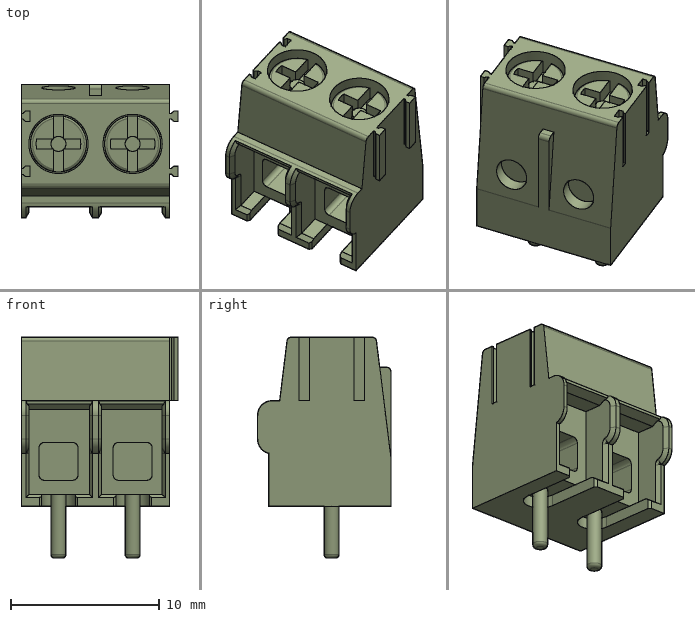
import cadquery as cq
import math


TOTAL_HEIGHT = 14.9
POLES = 2
WIDTH = 10.0
PITCH = WIDTH / POLES
DEPTH = 8.25
PIN_LENGTH = 3.5
HEIGHT = TOTAL_HEIGHT - PIN_LENGTH
POLE_Y = 4.25
POLE_XS = [PITCH * (i + 0.5) for i in range(POLES)]

FLANK_ANGLE = 7.0
FLANK_SLOPE = math.tan(math.radians(FLANK_ANGLE))
LEDGE_Z = 7.12
LEDGE_BACK_Y = 0.75
BACK_FLANK_Z = 3.2
TOP_FILLET = 0.3
LUG_REACH = 0.75
LUG_RADIUS = 1.0
LUG_STRAIGHT = 1.6

END_WALL = 0.5
MID_WALL = 0.8
ENTRY_DEPTH = 2.0
ENTRY_FLOOR_Z = 0.79
ENTRY_CEILING_Z = 6.53
BEVEL = 0.21
BEVEL_LONG = 0.36
CHEEK_BASE_Z = 0.15
CEILING_BEVEL = 0.63
WINDOW_WIDTH = 2.62
WINDOW_HEIGHT = 2.55
WINDOW_Z = 3.02
WINDOW_RADIUS = 0.36
WINDOW_DEPTH = 2.68

PIN_RADIUS = 0.5
PIN_TIP_FILLET = 0.25
NOTCH_RADIUS = 1.13
NOTCH_CHAMFER = 0.15

SCREW_HOLE_RADIUS = 2.0
SCREW_RADIUS = 1.89
SCREW_RECESS = 0.61
SCREW_EDGE = 0.15
SCREW_HEAD = 1.34
DRIVE_WIDTH = 0.69
DRIVE_DEPTH = 1.05
POST_HEIGHT = 0.3
SHORT_DRIVE_RADIUS = 1.5

CLIP_REACH = 0.57
CLIP_NECK = 0.4
CLIP_HEAD = 0.72
CLIP_FLARE_START = 0.1
CLIP_FLARE_END = 0.28
CLIP_YS = [2.4, 6.11]

RIB_WIDTH = 0.8
RIB_TOP_Z = 9.37
RIB_FILLET = 0.3
BACK_HOLE_RADIUS = 1.12
BACK_HOLE_Z = 5.1
BACK_HOLE_DEPTH = 1.0

LUG_CENTER_Y = LUG_RADIUS - LUG_REACH
LUG_HIGH_Z = LEDGE_Z - LUG_RADIUS
LUG_LOW_Z = LUG_HIGH_Z - LUG_STRAIGHT
LUG_FOOT_Z = LUG_LOW_Z - math.sqrt(LUG_RADIUS**2 - LUG_CENTER_Y**2)
TOP_FRONT_Y = LEDGE_BACK_Y + (HEIGHT - LEDGE_Z) * FLANK_SLOPE
TOP_BACK_Y = DEPTH - (HEIGHT - BACK_FLANK_Z) * FLANK_SLOPE


def lug_outline(start_z, back_y):
    """Open YZ outline up the front face, around the lug and back along the ledge."""
    diagonal = LUG_RADIUS * math.sqrt(0.5)
    foot_angle = math.atan2(LUG_FOOT_Z - LUG_LOW_Z, -LUG_CENTER_Y)
    low_angle = (foot_angle - math.pi) / 2
    low_mid = (
        LUG_CENTER_Y + LUG_RADIUS * math.cos(low_angle),
        LUG_LOW_Z + LUG_RADIUS * math.sin(low_angle),
    )
    return (
        cq.Workplane("YZ")
        .moveTo(0, start_z)
        .lineTo(0, LUG_FOOT_Z)
        .threePointArc(low_mid, (-LUG_REACH, LUG_LOW_Z))
        .lineTo(-LUG_REACH, LUG_HIGH_Z)
        .threePointArc((LUG_CENTER_Y - diagonal, LUG_HIGH_Z + diagonal), (LUG_CENTER_Y, LEDGE_Z))
        .lineTo(back_y, LEDGE_Z)
    )


def housing_block():
    block = (
        lug_outline(0, LEDGE_BACK_Y)
        .lineTo(TOP_FRONT_Y, HEIGHT)
        .lineTo(TOP_BACK_Y, HEIGHT)
        .lineTo(DEPTH, BACK_FLANK_Z)
        .lineTo(DEPTH, 0)
        .close()
        .extrude(WIDTH)
    )
    return block.faces(">Z").edges("|X").fillet(TOP_FILLET)


def entry_cut(x_min, x_max):
    """Opening of one wire entry at its outer bevel line, with floor and ceiling bevels."""
    front_y = -2 * LUG_REACH
    outline = [
        (front_y, ENTRY_FLOOR_Z - BEVEL),
        (0, ENTRY_FLOOR_Z - BEVEL),
        (BEVEL_LONG, ENTRY_FLOOR_Z),
        (ENTRY_DEPTH, ENTRY_FLOOR_Z),
        (ENTRY_DEPTH, ENTRY_CEILING_Z),
        (CEILING_BEVEL, ENTRY_CEILING_Z),
        (0, ENTRY_CEILING_Z + BEVEL_LONG),
        (0, HEIGHT),
        (front_y, HEIGHT),
    ]
    return cq.Workplane("YZ", origin=(x_min, 0, 0)).polyline(outline).close().extrude(x_max - x_min)


def bevelled_cheek():
    """Tapered skin that bevels the edge of an entry wall; its wide side lies on X = 0."""
    back_y = ENTRY_DEPTH + 2 * BEVEL_LONG
    taper = math.degrees(math.atan2(BEVEL_LONG, BEVEL))
    outline = lug_outline(CHEEK_BASE_Z, back_y).lineTo(back_y, CHEEK_BASE_Z).close()
    return outline.extrude(BEVEL, taper=taper)


def add_entries(body):
    for i in range(POLES):
        left_wall = END_WALL if i == 0 else MID_WALL / 2
        right_wall = END_WALL if i == POLES - 1 else MID_WALL / 2
        x_min = i * PITCH + left_wall - BEVEL
        x_max = (i + 1) * PITCH - right_wall + BEVEL
        body = body.cut(entry_cut(x_min, x_max))
        body = body.union(bevelled_cheek().translate((x_min, 0, 0)))
        body = body.union(bevelled_cheek().mirror("YZ").translate((x_max, 0, 0)))
    return body


def window_cut(x):
    return (
        cq.Workplane("XY")
        .box(WINDOW_WIDTH, WINDOW_DEPTH, WINDOW_HEIGHT, centered=(True, False, True))
        .edges("|Y")
        .fillet(WINDOW_RADIUS)
        .translate((x, ENTRY_DEPTH, WINDOW_Z))
    )


def notch_cut(x):
    """Round-ended notch in the entry floor, open to the front and centred on the pin."""
    mouth = NOTCH_RADIUS + NOTCH_CHAMFER
    return (
        cq.Workplane("XY")
        .moveTo(x - mouth, 0)
        .lineTo(x - NOTCH_RADIUS, NOTCH_CHAMFER)
        .lineTo(x - NOTCH_RADIUS, POLE_Y)
        .threePointArc((x, POLE_Y + NOTCH_RADIUS), (x + NOTCH_RADIUS, POLE_Y))
        .lineTo(x + NOTCH_RADIUS, NOTCH_CHAMFER)
        .lineTo(x + mouth, 0)
        .close()
        .extrude(ENTRY_FLOOR_Z)
    )


def pin(x):
    return (
        cq.Workplane("XY", origin=(x, POLE_Y, -PIN_LENGTH))
        .circle(PIN_RADIUS)
        .extrude(PIN_LENGTH + ENTRY_FLOOR_Z)
        .faces("<Z")
        .edges()
        .fillet(PIN_TIP_FILLET)
    )


def disc(x, top_z, radius, thickness):
    return cq.Workplane("XY", origin=(x, POLE_Y, top_z)).circle(radius).extrude(-thickness)


def add_screw(body, x):
    """Screw hole, the round-edged screw standing in it and its cross drive with a centre post."""
    face_z = HEIGHT - SCREW_RECESS
    hole = disc(x, HEIGHT, SCREW_HOLE_RADIUS, SCREW_RECESS + SCREW_HEAD)
    head = disc(x, face_z, SCREW_RADIUS, SCREW_HEAD).faces(">Z").edges().fillet(SCREW_EDGE)
    bar_length = 2 * SCREW_HOLE_RADIUS
    bar = cq.Workplane("XY", origin=(x, POLE_Y, face_z - DRIVE_DEPTH / 2))
    long_slot = bar.box(DRIVE_WIDTH, bar_length, DRIVE_DEPTH)
    short_slot = bar.box(bar_length, DRIVE_WIDTH, DRIVE_DEPTH)
    long_slot = long_slot.intersect(disc(x, face_z, SCREW_RADIUS, DRIVE_DEPTH))
    short_slot = short_slot.intersect(disc(x, face_z, SHORT_DRIVE_RADIUS, DRIVE_DEPTH))
    post = disc(x, face_z - DRIVE_DEPTH + POST_HEIGHT, PIN_RADIUS, 2 * POST_HEIGHT)
    return body.cut(hole).union(head).cut(long_slot).cut(short_slot).union(post)


def clip(x, y):
    """Dovetail bar with its root at X = x, reaching toward +X, from ledge height to the top."""
    half_outline = [
        (0, CLIP_NECK / 2),
        (CLIP_FLARE_START, CLIP_NECK / 2),
        (CLIP_FLARE_END, CLIP_HEAD / 2),
        (CLIP_REACH, CLIP_HEAD / 2),
    ]
    other_half = [(px, -py) for px, py in reversed(half_outline)]
    return (
        cq.Workplane("XY", origin=(x, y, LEDGE_Z))
        .polyline(half_outline + other_half)
        .close()
        .extrude(HEIGHT - LEDGE_Z)
    )


def back_rib():
    rib = cq.Workplane("XY").box(
        RIB_WIDTH, DEPTH - TOP_BACK_Y, RIB_TOP_Z - BACK_FLANK_Z, centered=(True, False, False)
    )
    rib = rib.faces(">Y").edges(">Z").fillet(RIB_FILLET)
    return rib.translate((WIDTH / 2, TOP_BACK_Y, BACK_FLANK_Z))


def back_hole(x):
    return (
        cq.Workplane("XZ", origin=(x, DEPTH, BACK_HOLE_Z))
        .circle(BACK_HOLE_RADIUS)
        .extrude(BACK_HOLE_DEPTH)
    )


result = add_entries(housing_block()).union(back_rib())
for pole_x in POLE_XS:
    result = result.cut(window_cut(pole_x)).cut(notch_cut(pole_x)).cut(back_hole(pole_x))
    result = add_screw(result, pole_x).union(pin(pole_x))
for clip_y in CLIP_YS:
    result = result.union(clip(WIDTH, clip_y)).cut(clip(0, clip_y))